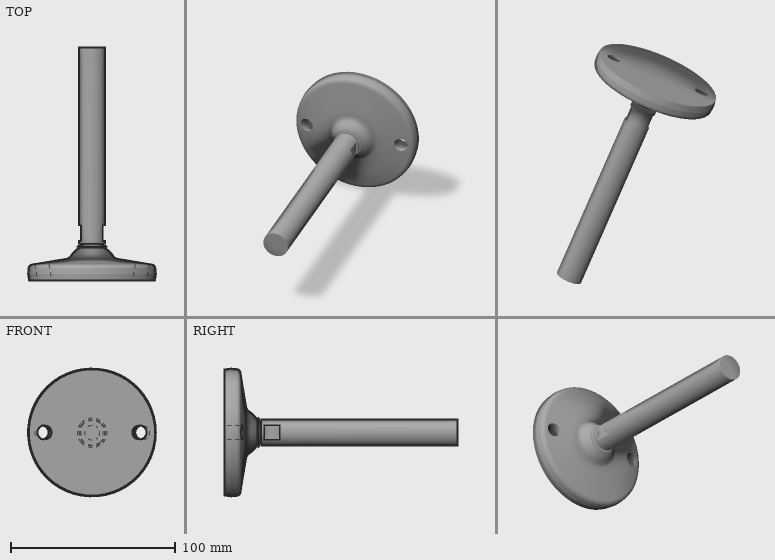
import cadquery as cq
import math

AXIS_START = (0, 0, 0)
AXIS_END = (0, 1, 0)

rim_radius = 38.98
rim_height = 4.1
sole_radius = 38.3
shoulder_radius = 38.5
shoulder_height = 9.5
shoulder_fillet = 2.8
slope_angle = 9.5

dome_radius = 15.2
dome_center = 7.0
dome_top = 20.2
dome_fillet = 3.1

hole_diameter = 8.5
hole_offset = 28.8
hole_reach = 28.4

overall_length = 142.0
shaft_radius = 16.0 / 2
shaft_bottom = 22.5
neck_radius = 4.5
collar_radius = 9.0
collar_height = 20.7
seat_radius = math.sqrt(dome_radius**2 - (dome_top - dome_center) ** 2)

flat_distance = 6.7
flat_bottom = 24.3
flat_top = 33.7


def make_foot():
    """Conical plate with a spherical dome and two inclined mounting holes."""
    cone_peak = shoulder_height + shoulder_radius * math.tan(math.radians(slope_angle))
    plate = (
        cq.Workplane("XY")
        .polyline([
            (0, 0),
            (sole_radius, 0),
            (rim_radius, rim_height),
            (shoulder_radius, shoulder_height),
            (0, cone_peak),
        ])
        .close()
        .revolve(360, AXIS_START, AXIS_END)
        .edges(cq.NearestToPointSelector((0, shoulder_height, 0)))
        .fillet(shoulder_fillet)
    )

    mid_angle = math.asin((dome_top - dome_center) / dome_radius) / 2
    arc_middle = (
        dome_radius * math.cos(mid_angle),
        dome_center + dome_radius * math.sin(mid_angle),
    )
    dome = (
        cq.Workplane("XY")
        .moveTo(0, dome_center)
        .lineTo(dome_radius, dome_center)
        .threePointArc(arc_middle, (seat_radius, dome_top))
        .lineTo(0, dome_top)
        .close()
        .revolve(360, AXIS_START, AXIS_END)
    )

    joint_height = cone_peak - dome_radius * math.tan(math.radians(slope_angle))
    foot = (
        plate.union(dome)
        .edges(cq.NearestToPointSelector((0, joint_height, 0)))
        .fillet(dome_fillet)
    )

    for side in (-1, 1):
        foot = foot.cut(make_hole_cutter(side))
    return foot


def make_hole_cutter(side):
    """Cylinder through the plate, leaning outward towards the top."""
    lean = math.radians(slope_angle)
    direction = cq.Vector(side * math.sin(lean), math.cos(lean), 0)
    start = cq.Vector(side * hole_offset, 0, 0) - direction * hole_reach
    return cq.Solid.makeCylinder(hole_diameter / 2, 2 * hole_reach, start, direction)


def make_spindle():
    """Plain shaft with a sharp-edged conical collar and two wrench flats."""
    spindle = (
        cq.Workplane("XY")
        .polyline([
            (0, dome_top),
            (seat_radius, dome_top),
            (collar_radius, collar_height),
            (neck_radius, shaft_bottom),
            (shaft_radius, shaft_bottom),
            (shaft_radius, overall_length),
            (0, overall_length),
        ])
        .close()
        .revolve(360, AXIS_START, AXIS_END)
    )

    cutter_size = 2 * shaft_radius
    for side in (-1, 1):
        flat_cutter = cq.Workplane("XY").box(
            cutter_size, flat_top - flat_bottom, cutter_size
        ).translate(
            (side * (flat_distance + cutter_size / 2), (flat_bottom + flat_top) / 2, 0)
        )
        spindle = spindle.cut(flat_cutter)
    return spindle


foot = make_foot()
spindle = make_spindle()
result = cq.Compound.makeCompound([foot.solids().val(), spindle.solids().val()])